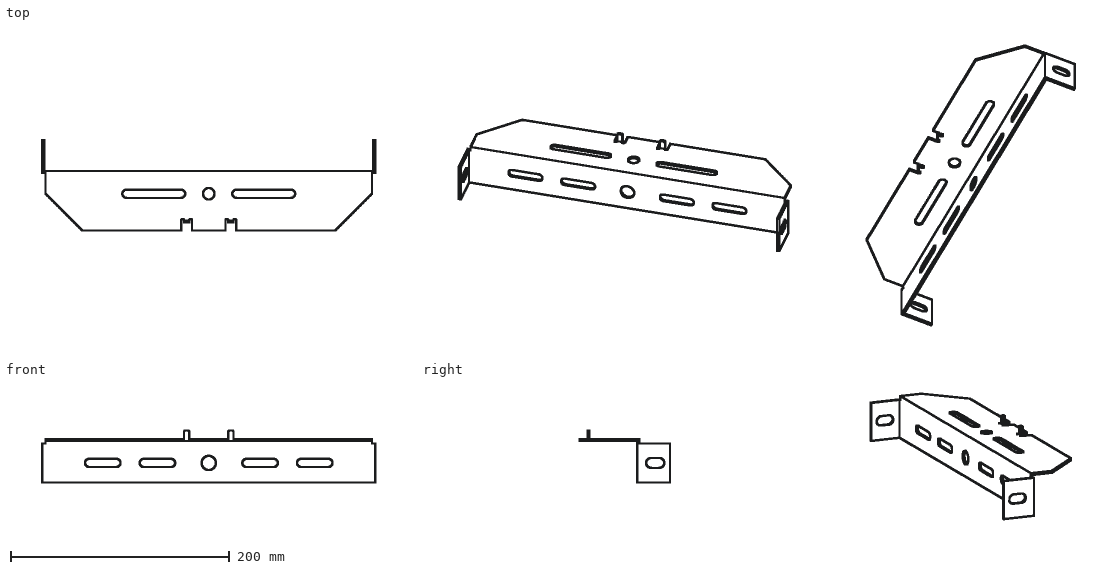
import cadquery as cq

length = 305.0
overall_depth = 83.0
shelf_depth = 55.0
sheet = 2.0
overlap = 0.03

wall_front = shelf_depth - sheet - overall_depth / 2
wall_back = wall_front + sheet
flange_depth = overall_depth - shelf_depth + sheet
flange_height = 36.0
flange_slot_length = 16.5
flange_slot_width = 8.8
flange_slot_setback = 16.5
wall_hole_height = 18.0
wall_hole_diameter = 12.8
wall_slot_length = 32.3
wall_slot_width = 7.3
wall_slot_positions = (47.0, 97.0)

shelf_top = 40.0
shelf_bottom = shelf_top - sheet
shelf_front = wall_back - shelf_depth
end_inset = 3.0
shelf_length = length - 2 * end_inset
corner_cut = 34.0
shelf_hole_y = shelf_front + 34.0
shelf_hole_diameter = 10.5
shelf_slot_length = 57.3
shelf_slot_width = 7.3
shelf_slot_position = 50.3

tab_spacing = 40.5
tab_width = 5.0
tab_top = 48.0
tab_chamfer = 1.0
tab_front = shelf_front + 7.3
notch_width = 9.8
relief_end = shelf_front + 10.7
relief_width = (notch_width - tab_width) / 2


def box(x_min, x_max, y_min, y_max, z_min, z_max):
    size = (x_max - x_min, y_max - y_min, z_max - z_min)
    return cq.Workplane("XY").box(*size, centered=False).translate((x_min, y_min, z_min))


def make_wall():
    lower = box(-length / 2, length / 2, wall_front, wall_back, 0, flange_height)
    upper = box(-shelf_length / 2, shelf_length / 2, wall_front, wall_back, 0, shelf_top)
    slot_points = [(side * x, wall_hole_height) for side in (-1, 1) for x in wall_slot_positions]
    cutters = (
        cq.Workplane("XZ", origin=(0, wall_back + overlap, 0))
        .pushPoints(slot_points)
        .slot2D(wall_slot_length, wall_slot_width)
        .extrude(sheet + 2 * overlap)
    )
    hole = (
        cq.Workplane("XZ", origin=(0, wall_back + overlap, 0))
        .center(0, wall_hole_height)
        .circle(wall_hole_diameter / 2)
        .extrude(sheet + 2 * overlap)
    )
    return lower.union(upper).cut(cutters).cut(hole)


def make_flanges():
    flange = box(-length / 2, -length / 2 + sheet, wall_front, wall_front + flange_depth, 0, flange_height)
    slot = (
        cq.Workplane("YZ", origin=(-length / 2 - overlap, 0, 0))
        .center(wall_front + flange_slot_setback, wall_hole_height)
        .slot2D(flange_slot_length, flange_slot_width)
        .extrude(sheet + 2 * overlap)
    )
    flange = flange.cut(slot)
    return flange.union(flange.mirror("YZ"))


def make_shelf():
    shelf = box(-shelf_length / 2, shelf_length / 2, shelf_front, wall_back, shelf_bottom, shelf_top)
    shelf = shelf.edges("|Z and <Y").chamfer(corner_cut)
    plane = cq.Workplane("XY", origin=(0, shelf_hole_y, shelf_bottom - overlap))
    cut_height = sheet + 2 * overlap
    hole = plane.circle(shelf_hole_diameter / 2).extrude(cut_height)
    slots = (
        plane.pushPoints([(-shelf_slot_position, 0), (shelf_slot_position, 0)])
        .slot2D(shelf_slot_length, shelf_slot_width)
        .extrude(cut_height)
    )
    return shelf.cut(hole).cut(slots)


def make_notch(x):
    """Front notch with a round-ended relief on each side of the tab root."""
    z_min = shelf_bottom - overlap
    z_max = shelf_top + overlap
    notch = box(x - notch_width / 2, x + notch_width / 2, shelf_front - overlap, tab_front, z_min, z_max)
    relief_offset = (tab_width + relief_width) / 2
    for side in (-1, 1):
        center = x + side * relief_offset
        x_min = center - relief_width / 2
        x_max = center + relief_width / 2
        relief = box(x_min, x_max, shelf_front - overlap, relief_end, z_min, z_max)
        notch = notch.union(relief.edges("|Z and >Y").fillet(relief_width / 2 - overlap))
    return notch


def make_tab(x):
    tab = box(x - tab_width / 2, x + tab_width / 2, tab_front, tab_front + sheet, shelf_bottom, tab_top)
    return tab.edges("|Y and >Z").chamfer(tab_chamfer)


result = make_wall().union(make_flanges()).union(make_shelf())
for tab_x in (-tab_spacing / 2, tab_spacing / 2):
    result = result.cut(make_notch(tab_x)).union(make_tab(tab_x))